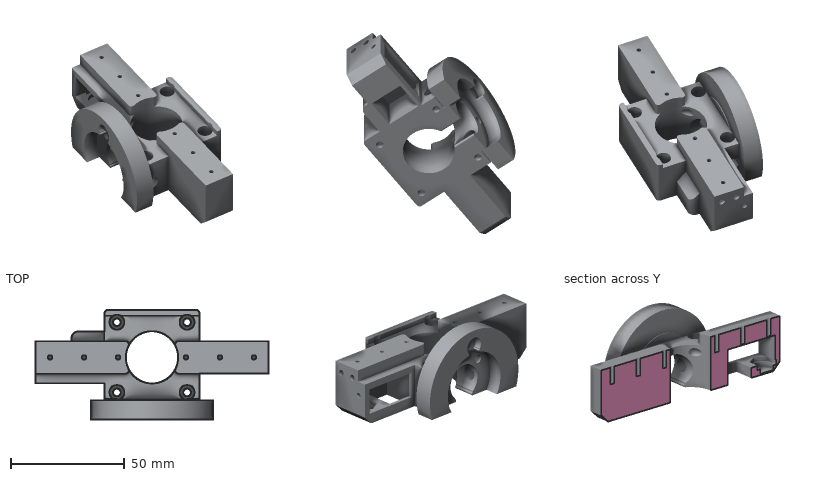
import cadquery as cq
import math


block_half_width = 21.0
block_back_y = 21.0
block_front_y = -18.5
block_height = 20.0
block_corner_radius = 1.6
back_wall_thickness = 2.7
back_wall_height = 22.4
main_bore_radius = 11.5

screw_spacing = 31.0
screw_hole_radius = 1.65
screw_head_radius = 3.3
screw_seat_z = 5.0

arm_length = 103.0 / 2
arm_half_width = 7.15
arm_height = 25.5
arm_inner_x = 10.3
arm_inner_radius = 1.3
arm_end_chamfer = 4.0
rail_hole_radius = 1.0
rail_hole_spacing = 15.0
rail_hole_count = 3
rail_hole_depth = 8.0

housing_front_y = -11.5
window_left_x = -48.6
window_right_x = -22.9
window_bottom_z = 5.0
window_top_z = 16.8
pocket_back_y = 5.8
slot_left_x = -34.8
slot_right_x = -21.5
slot_front_y = -9.9
flange_left_x = -35.6
flange_back_y = 11.5
flange_height = 8.7
flange_corner_radius = 3.2

nut_x = -43.8
nut_y = -2.6
nut_across_flats = 10.6
nut_seat_depth = 2.0
nut_hole_radius = 4.4
nut_hole_bottom_z = 0.8

end_hole_radius = 1.45
end_hole_y = 3.5
end_hole_z = 20.7
end_hole_depth = 10.0
adjuster_hole_radius = 1.2
adjuster_hole_y = -7.5
adjuster_hole_z = 13.5

ring_center_z = 8.2
ring_radius = 27.1
ring_front_y = block_back_y - 48.5
ring_back_y = -18.9
disc_radius = 16.1
disc_thickness = 2.5
disc_front_y = block_front_y - disc_thickness
front_bore_radius = 8.25
front_bore_throat = 11.0
front_lip_radius = 0.75
disc_hole_radius = 1.9
disc_hole_x = 8.55
disc_hole_z = 16.6
key_radius = 4.15
key_center_z = 27.6
key_throat = 7.0
key_lip_radius = 0.45
key_lip_z = 24.5
key_depth = 3.6
cross_hole_radius = 3.15
cross_hole_y = -15.9


def box(x_min, x_max, y_min, y_max, z_min, z_max):
    """Box between two opposite corners."""
    size = (x_max - x_min, y_max - y_min, z_max - z_min)
    return cq.Workplane("XY").box(*size, centered=False).translate((x_min, y_min, z_min))


def cylinder_x(radius, x_min, x_max, y, z):
    """Cylinder along X."""
    return cq.Workplane("YZ", origin=(x_min, y, z)).circle(radius).extrude(x_max - x_min)


def cylinder_y(radius, y_min, y_max, x, z):
    """Cylinder along Y."""
    return cq.Workplane("XZ", origin=(x, y_max, z)).circle(radius).extrude(y_max - y_min)


def cylinder_z(radius, z_min, z_max, x, y):
    """Cylinder along Z."""
    return cq.Workplane("XY", origin=(x, y, z_min)).circle(radius).extrude(z_max - z_min)


def make_block():
    """Square block with a low wall along its back edge."""
    x = block_half_width
    block = box(-x, x, block_front_y, block_back_y, 0, block_height)
    wall = box(-x, x, block_back_y - back_wall_thickness, block_back_y, 0, back_wall_height)
    return block.union(wall).edges("|Z and >Y").fillet(block_corner_radius)


def make_arms():
    """Two high arms, and the wider, lower housing in front of the left one."""
    arm = box(arm_inner_x, arm_length, -arm_half_width, arm_half_width, 0, arm_height)
    arm = arm.edges("|Z and <X").fillet(arm_inner_radius)
    housing = box(-arm_length, -block_half_width, housing_front_y, arm_half_width, 0, block_height)
    arms = arm.union(arm.mirror("YZ")).union(housing)
    return arms.faces("<Z").edges("<X or >X").chamfer(arm_end_chamfer)


def make_flange():
    """Flange behind the left arm, next to the block, with a sloping top."""
    rise = flange_back_y - arm_half_width
    profile = [
        (0, 0),
        (flange_back_y, 0),
        (flange_back_y, flange_height),
        (arm_half_width, flange_height + rise),
        (0, flange_height + rise),
    ]
    flange = (
        cq.Workplane("YZ", origin=(flange_left_x, 0, 0))
        .polyline(profile)
        .close()
        .extrude(-block_half_width - flange_left_x)
    )
    return flange.edges("|Z and >Y and <X").fillet(flange_corner_radius)


def make_ring():
    """Clamp ring with its recess and blind keyhole, plus the disc behind it."""
    ring = cylinder_y(ring_radius, ring_front_y, ring_back_y, 0, ring_center_z)
    ring = ring.cut(cylinder_y(disc_radius, ring_front_y, ring_back_y, 0, ring_center_z))
    key_floor_y = ring_front_y + key_depth
    ring = ring.cut(cylinder_y(key_radius, ring_front_y, key_floor_y, 0, key_center_z))
    throat = box(-key_throat / 2, key_throat / 2, ring_front_y, key_floor_y, ring_center_z, key_center_z)
    ring = ring.cut(throat)
    for x in (-key_throat / 2, key_throat / 2):
        ring = ring.union(cylinder_y(key_lip_radius, ring_front_y, key_floor_y, x, key_lip_z))
    disc = cylinder_y(disc_radius, disc_front_y, block_front_y, 0, ring_center_z)
    below = box(-ring_radius, ring_radius, ring_front_y, block_front_y, ring_center_z - ring_radius, 0)
    return ring.union(disc).cut(below)


def cut_front_bore(body):
    """Bore from the clamp ring into the main bore, open below between two rounded lips."""
    half_throat = front_bore_throat / 2
    body = body.cut(cylinder_y(front_bore_radius, disc_front_y, 0, 0, ring_center_z))
    body = body.cut(box(-half_throat, half_throat, disc_front_y, 0, 0, ring_center_z))
    for x in (-half_throat, half_throat):
        body = body.union(cylinder_y(front_lip_radius, disc_front_y, 0, x, front_lip_radius))
    return body


def cut_block_holes(body):
    """Main bore, corner screws, disc holes and cross hole."""
    body = body.cut(cylinder_z(main_bore_radius, 0, arm_height, 0, 0))
    for x in (-screw_spacing / 2, screw_spacing / 2):
        for y in (-screw_spacing / 2, screw_spacing / 2):
            body = body.cut(cylinder_z(screw_hole_radius, 0, block_height, x, y))
            body = body.cut(cylinder_z(screw_head_radius, screw_seat_z, back_wall_height, x, y))
    for x in (-disc_hole_x, disc_hole_x):
        body = body.cut(cylinder_y(disc_hole_radius, disc_front_y, 0, x, disc_hole_z))
    cross_hole = cylinder_x(
        cross_hole_radius, -block_half_width, block_half_width, cross_hole_y, ring_center_z
    )
    return body.cut(cross_hole)


def cut_left_housing(body):
    """Window pocket, bottom slot and nut seat of the left arm."""
    window = (window_left_x, window_right_x)
    height = (window_bottom_z, window_top_z)
    body = body.cut(box(*window, housing_front_y, pocket_back_y, *height))
    body = body.cut(box(slot_left_x, slot_right_x, slot_front_y, pocket_back_y, 0, window_top_z))
    seat_z = window_bottom_z - nut_seat_depth
    nut_diameter = nut_across_flats / math.cos(math.pi / 6)
    nut = (
        cq.Workplane("XY", origin=(nut_x, nut_y, seat_z))
        .transformed(rotate=(0, 0, 90))
        .polygon(6, nut_diameter)
        .extrude(nut_seat_depth)
    )
    body = body.cut(nut)
    return body.cut(cylinder_z(nut_hole_radius, nut_hole_bottom_z, seat_z, nut_x, nut_y))


def cut_arm_holes(body):
    """Rail screw holes on top of both arms and the holes in the left end."""
    for side in (-1, 1):
        for index in range(1, rail_hole_count + 1):
            x = side * index * rail_hole_spacing
            hole = cylinder_z(rail_hole_radius, arm_height - rail_hole_depth, arm_height, x, 0)
            body = body.cut(hole)
    for y in (-end_hole_y, end_hole_y):
        hole = cylinder_x(end_hole_radius, -arm_length, end_hole_depth - arm_length, y, end_hole_z)
        body = body.cut(hole)
    adjuster = cylinder_x(adjuster_hole_radius, -arm_length, window_left_x, adjuster_hole_y, adjuster_hole_z)
    return body.cut(adjuster)


result = make_block().union(make_arms()).union(make_flange()).union(make_ring())
result = cut_front_bore(result)
result = cut_block_holes(result)
result = cut_left_housing(result)
result = cut_arm_holes(result)